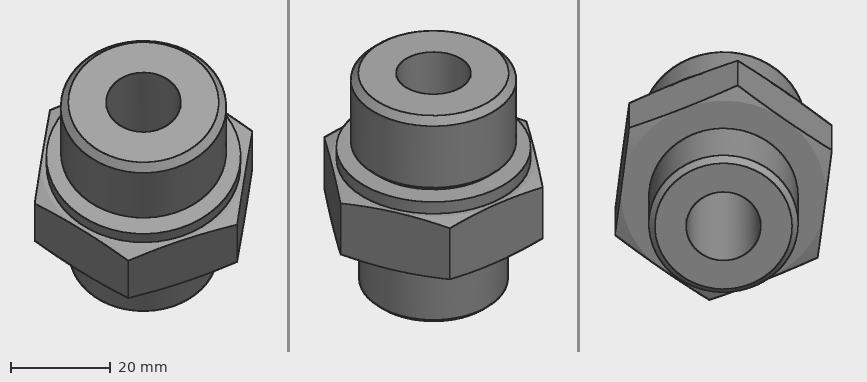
import cadquery as cq
import math

total_height = 51.0
hex_bottom = 16.0
hex_top = 30.15
collar_top = 33.0

bore_diameter = 15.0
lower_diameter = 30.0
upper_diameter = 33.25
collar_diameter = 39.0
across_flats = 41.0

lower_bevel = 1.2
upper_bevel = 1.55
hex_bevel_angle = 15.0

across_corners = across_flats / math.cos(math.radians(30))


def cylinder(diameter, bottom, top):
    return cq.Workplane("XY").workplane(offset=bottom).circle(diameter / 2).extrude(top - bottom)


def bevelled_spigot(diameter, bottom, top, bevel):
    """Cylinder bevelled at its free end and at its root."""
    return cylinder(diameter, bottom, top).faces("<Z or >Z").chamfer(bevel)


def hexagon():
    """Hexagon with flats facing X and corners turned off by a shallow cone at both ends."""
    prism = (
        cq.Workplane("XY")
        .workplane(offset=hex_bottom)
        .transformed(rotate=(0, 0, 90))
        .polygon(6, across_corners)
        .extrude(hex_top - hex_bottom)
    )
    flat_radius = across_flats / 2
    corner_radius = across_corners / 2
    drop = (corner_radius - flat_radius) * math.tan(math.radians(hex_bevel_angle))
    envelope = (
        cq.Workplane("XZ")
        .moveTo(0, hex_bottom)
        .lineTo(flat_radius, hex_bottom)
        .lineTo(corner_radius, hex_bottom + drop)
        .lineTo(corner_radius, hex_top - drop)
        .lineTo(flat_radius, hex_top)
        .lineTo(0, hex_top)
        .close()
        .revolve(360, (0, 0, 0), (0, 1, 0))
    )
    return prism.intersect(envelope)


lower_spigot = bevelled_spigot(lower_diameter, 0, hex_bottom, lower_bevel)
upper_spigot = bevelled_spigot(upper_diameter, collar_top, total_height, upper_bevel)
collar = cylinder(collar_diameter, hex_top, collar_top)
bore = cylinder(bore_diameter, 0, total_height)

result = hexagon().union(collar).union(lower_spigot).union(upper_spigot).cut(bore)